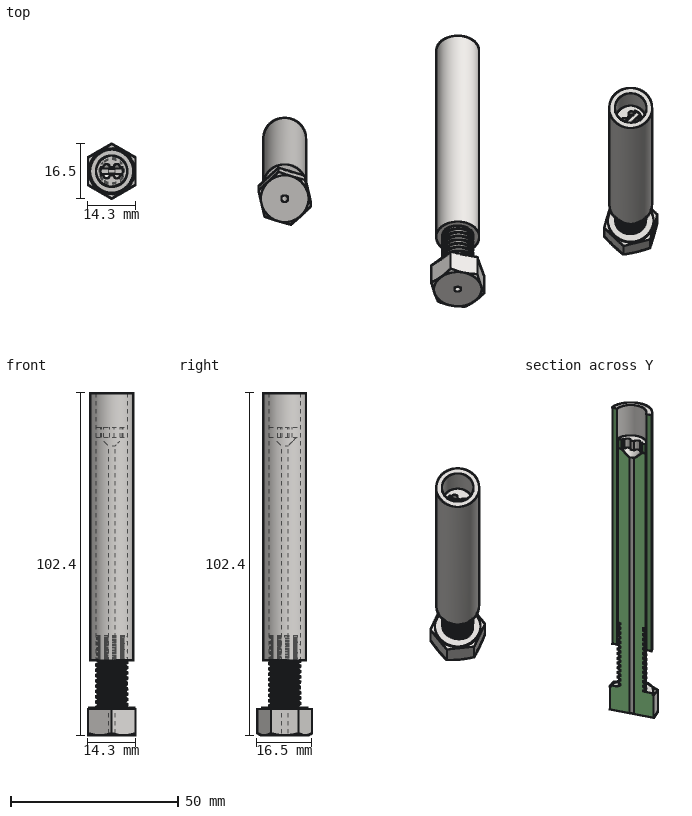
import cadquery as cq
import math

total_height = 102.4

hex_across_corners = 16.5
hex_height = 7.9
hex_chamfer_angle = 30.0
hex_bottom_diameter = 14.2
washer_face_diameter = 13.6
washer_face_top = 8.4

shank_top = 89.1
thread_diameter = 9.3
thread_root_diameter = 7.6
thread_crest_width = 0.3
thread_root_width = 0.2
thread_start_height = 7.6
thread_top = 29.8
thread_turns = 14
thread_length = thread_top - thread_start_height
thread_pitch = thread_length / thread_turns
ridge_root_depth = 0.1

passage_diameter = 2.0
countersink_diameter = 7.0
countersink_angle = 90.0

tube_outer_diameter = 12.9
tube_bore_diameter = 9.4
tube_bottom = 22.4

disc_thickness = 3.1
slot_length = 6.7
slot_width = 2.5
lobe_diameter = 1.8
lobe_x = 1.5
lobe_y = 1.2
bar_width = 1.5


def cylinder(diameter, bottom, top):
    """Solid cylinder on the Z axis between two heights."""
    return cq.Workplane("XY").workplane(offset=bottom).circle(diameter / 2).extrude(top - bottom)


def make_head():
    """Hexagon with corners on +Y and -Y, its lower corners turned off, and a washer face on top."""
    corner_radius = hex_across_corners / 2
    corner_turn = 30
    head = (
        cq.Workplane("XY")
        .polygon(6, 2 * corner_radius)
        .extrude(hex_height)
        .rotate((0, 0, 0), (0, 0, 1), corner_turn)
    )
    bottom_radius = hex_bottom_diameter / 2
    chamfer_rise = (corner_radius - bottom_radius) * math.tan(math.radians(hex_chamfer_angle))
    envelope = (
        cq.Workplane("XZ")
        .moveTo(0, 0)
        .lineTo(bottom_radius, 0)
        .lineTo(corner_radius, chamfer_rise)
        .lineTo(corner_radius, hex_height)
        .lineTo(0, hex_height)
        .close()
        .revolve(360, (0, 0, 0), (0, 1, 0))
    )
    return head.intersect(envelope).union(cylinder(washer_face_diameter, hex_height, washer_face_top))


def make_thread_ridge():
    """Right-hand helical ridge, rooted in the shank's core, starting inside the bolt head."""
    core_radius = thread_root_diameter / 2
    crest_radius = thread_diameter / 2
    foot_width = thread_pitch - thread_root_width
    flank_slope = (foot_width - thread_crest_width) / (crest_radius - core_radius)
    sunk_width = foot_width + ridge_root_depth * flank_slope
    foot_radius = core_radius - ridge_root_depth
    profile = (
        cq.Workplane("XZ")
        .moveTo(foot_radius, -sunk_width / 2)
        .lineTo(crest_radius, -thread_crest_width / 2)
        .lineTo(crest_radius, thread_crest_width / 2)
        .lineTo(foot_radius, sunk_width / 2)
        .close()
    )
    helix = cq.Wire.makeHelix(thread_pitch, thread_length, core_radius)
    return profile.sweep(cq.Workplane(helix), isFrenet=True).translate((0, 0, thread_start_height))


def make_bolt():
    """Hollow hexagon bolt with a countersink at the end of its shank."""
    core = cylinder(thread_root_diameter, washer_face_top, shank_top)
    plain_shank = cylinder(thread_diameter, thread_top, shank_top)
    shank = core.union(make_thread_ridge()).union(plain_shank)
    return (
        make_head()
        .union(shank)
        .copyWorkplane(cq.Workplane("XY", origin=(0, 0, shank_top)))
        .cskHole(passage_diameter, countersink_diameter, countersink_angle)
    )


def make_tube():
    """Plain tube, open at both ends."""
    outside = cylinder(tube_outer_diameter, tube_bottom, total_height)
    return outside.cut(cylinder(tube_bore_diameter, tube_bottom, total_height))


def make_slot_strip(width):
    """Strip along X whose ends are arcs about the disc's axis."""
    strip = cq.Workplane("XY").workplane(offset=shank_top).rect(slot_length, width).extrude(disc_thickness)
    return strip.intersect(cylinder(slot_length, shank_top, shank_top + disc_thickness))


def make_disc():
    """Disc whose through slot has two round lobes along each side."""
    lobes = (
        cq.Workplane("XY")
        .workplane(offset=shank_top)
        .rarray(2 * lobe_x, 2 * lobe_y, 2, 2)
        .circle(lobe_diameter / 2)
        .extrude(disc_thickness)
    )
    disc = cylinder(thread_diameter, shank_top, shank_top + disc_thickness)
    return disc.cut(make_slot_strip(slot_width)).cut(lobes)


bolt = make_bolt()
tube = make_tube()
disc = make_disc()
bar = make_slot_strip(bar_width)

result = cq.Compound.makeCompound([bolt.val(), tube.val(), disc.val(), bar.val()])